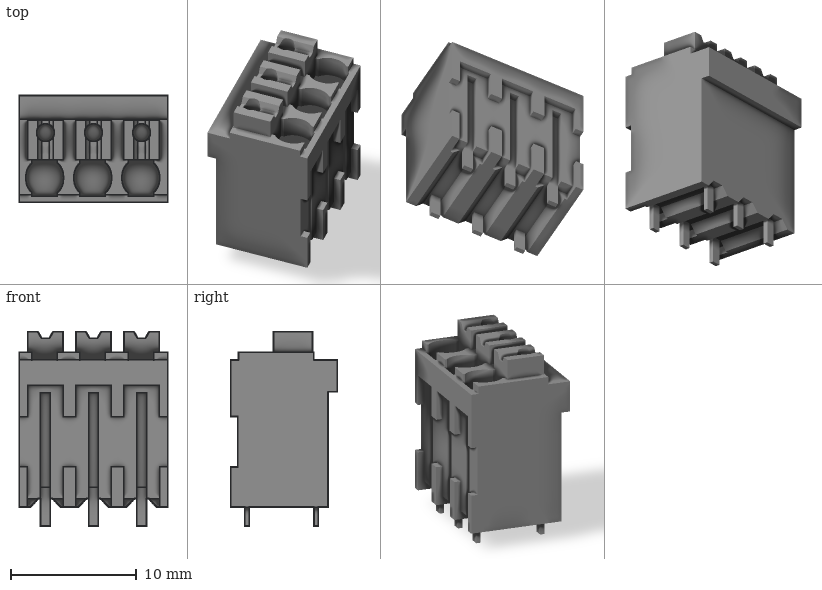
import cadquery as cq


POLE_COUNT = 3
PITCH = 3.82
pole_positions = [(i - (POLE_COUNT - 1) / 2) * PITCH for i in range(POLE_COUNT)]

WIDTH = 11.82
DEPTH = 8.5
TOTAL_HEIGHT = 15.45
BODY_BOTTOM = 1.51
SHOULDER_TOP = 13.21
RAISED_TOP = 13.83
RAISED_FRONT = 0.62
RAISED_BACK = 6.61
BODY_BACK = 7.75
LIP_BOTTOM = 10.68

CHANNEL_DEPTH = 0.55
CHANNEL_TOP = 11.19
TAB_BOTTOM = 8.71
RIB_TOP = 4.71
TAB_GAP = 2.81
RIB_GAP = 2.86

PIN_WIDTH = 0.79
PIN_THICKNESS = 0.37
PIN_TOP = 3.09
FRONT_PIN_Y = 1.13
REAR_PIN_Y = 6.61
SLOT_TOP = 10.61

NOTCH_TOP = 2.2
NOTCH_TOP_WIDTH = 1.13
NOTCH_BOTTOM_WIDTH = 2.41
RELIEF_BACK = FRONT_PIN_Y + PIN_THICKNESS

BUTTON_WIDTH = TAB_GAP
BUTTON_FRONT = 3.4
BUTTON_BACK = 6.52
POCKET_BACK = 6.57
GROOVE_FLOOR = 14.94
GROOVE_TOP_WIDTH = 1.2
GROOVE_FLOOR_WIDTH = 0.62
DIMPLE_DIAMETER = 1.4
DIMPLE_Y = 5.55
DIMPLE_FLOOR = 13.83

ENTRY_SHIFT = -0.06
ENTRY_LENGTH = 3.15
ENTRY_WIDTH = 3.0
ENTRY_Y = 1.96
ENTRY_SLOT_WIDTH = 2.02
ENTRY_FRONT = 0.51
ENTRY_FLOOR = 11.97


def box(x_mid, x_size, y_min, y_max, z_min, z_max):
    """Box centred on x_mid in X, given by its limits in Y and Z."""
    block = cq.Workplane("XY").box(x_size, y_max - y_min, z_max - z_min, centered=(True, False, False))
    return block.translate((x_mid, y_min, z_min))


def extrude_along_y(points, y_min, y_max):
    """Extrude an X-Z outline from y_min to y_max."""
    return cq.Workplane("XZ", origin=(0, y_min, 0)).polyline(points).close().extrude(y_min - y_max)


def make_body():
    """Side profile of the housing, with the recess between tabs and ribs, extruded over its width."""
    profile = [
        (0, BODY_BOTTOM),
        (BODY_BACK, BODY_BOTTOM),
        (BODY_BACK, LIP_BOTTOM),
        (DEPTH, LIP_BOTTOM),
        (DEPTH, SHOULDER_TOP),
        (RAISED_BACK, SHOULDER_TOP),
        (RAISED_BACK, RAISED_TOP),
        (RAISED_FRONT, RAISED_TOP),
        (RAISED_FRONT, SHOULDER_TOP),
        (0, SHOULDER_TOP),
        (0, TAB_BOTTOM),
        (CHANNEL_DEPTH, TAB_BOTTOM),
        (CHANNEL_DEPTH, RIB_TOP),
        (0, RIB_TOP),
    ]
    return cq.Workplane("YZ", origin=(-WIDTH / 2, 0, 0)).polyline(profile).close().extrude(WIDTH)


def make_front_relief(x):
    """Channel in the front face with the slot that leads down to the front pin."""
    between_tabs = box(x, TAB_GAP, 0, CHANNEL_DEPTH, TAB_BOTTOM, CHANNEL_TOP)
    between_ribs = box(x, RIB_GAP, 0, CHANNEL_DEPTH, BODY_BOTTOM, RIB_TOP)
    slot = box(x, PIN_WIDTH, 0, FRONT_PIN_Y, BODY_BOTTOM, SLOT_TOP)
    return between_tabs.union(between_ribs).union(slot)


def make_bottom_notch(x):
    """Notch with flared sides under a pole, widened to the full rib gap at the front."""
    outline = [
        (x - NOTCH_TOP_WIDTH / 2, NOTCH_TOP),
        (x + NOTCH_TOP_WIDTH / 2, NOTCH_TOP),
        (x + NOTCH_BOTTOM_WIDTH / 2, BODY_BOTTOM),
        (x - NOTCH_BOTTOM_WIDTH / 2, BODY_BOTTOM),
    ]
    front = box(x, RIB_GAP, 0, RELIEF_BACK, BODY_BOTTOM, NOTCH_TOP)
    return extrude_along_y(outline, 0, BODY_BACK).union(front)


def make_wire_entry(x):
    """Near-round wire entry, cut flat at front and back, joined by a slot from button to shelf."""
    height = RAISED_TOP - ENTRY_FLOOR
    x_mid = x + ENTRY_SHIFT
    hole = (
        cq.Workplane("XY", origin=(x_mid, ENTRY_Y, ENTRY_FLOOR))
        .slot2D(ENTRY_LENGTH, ENTRY_WIDTH, 90)
        .extrude(height)
    )
    slot = box(x_mid, ENTRY_SLOT_WIDTH, ENTRY_FRONT, BUTTON_FRONT, ENTRY_FLOOR, RAISED_TOP)
    limits = box(x_mid, ENTRY_WIDTH, ENTRY_FRONT, BUTTON_FRONT, ENTRY_FLOOR, RAISED_TOP)
    return hole.intersect(limits).union(slot)


def make_button_pocket(x):
    """Pocket for a button, as deep as the wire entry, with a small gap behind the button."""
    return box(x, BUTTON_WIDTH, BUTTON_FRONT, POCKET_BACK, ENTRY_FLOOR, RAISED_TOP)


def make_button(x):
    """Push button with a tapered groove along its top and a round screwdriver dimple."""
    groove = [
        (x - GROOVE_TOP_WIDTH / 2, TOTAL_HEIGHT),
        (x + GROOVE_TOP_WIDTH / 2, TOTAL_HEIGHT),
        (x + GROOVE_FLOOR_WIDTH / 2, GROOVE_FLOOR),
        (x - GROOVE_FLOOR_WIDTH / 2, GROOVE_FLOOR),
    ]
    dimple = (
        cq.Workplane("XY", origin=(x, DIMPLE_Y, DIMPLE_FLOOR))
        .circle(DIMPLE_DIAMETER / 2)
        .extrude(TOTAL_HEIGHT - DIMPLE_FLOOR)
    )
    block = box(x, BUTTON_WIDTH, BUTTON_FRONT, BUTTON_BACK, ENTRY_FLOOR, TOTAL_HEIGHT)
    return block.cut(extrude_along_y(groove, BUTTON_FRONT, BUTTON_BACK)).cut(dimple)


def make_pin(x, y_front):
    """Flat solder pin."""
    return box(x, PIN_WIDTH, y_front, y_front + PIN_THICKNESS, 0, PIN_TOP)


buttons = [make_button(x) for x in pole_positions]
pins = [make_pin(x, y) for x in pole_positions for y in (FRONT_PIN_Y, REAR_PIN_Y)]

housing = make_body()
for x in pole_positions:
    housing = housing.cut(make_front_relief(x))
    housing = housing.cut(make_bottom_notch(x))
    housing = housing.cut(make_wire_entry(x))
    housing = housing.cut(make_button_pocket(x))
for pin in pins:
    housing = housing.cut(pin)

result = cq.Compound.makeCompound(
    [
        housing.val(),
        *[button.val() for button in buttons],
        *[pin.val() for pin in pins],
    ]
)